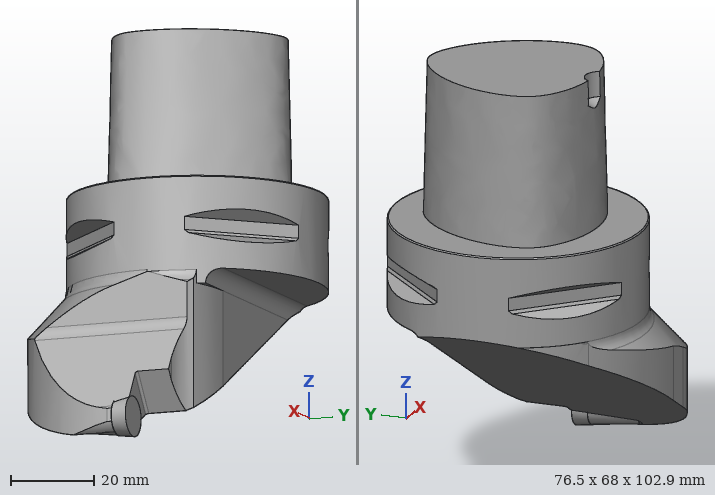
import cadquery as cq
import math


shank_height = 38.0
lobe_mean_radius = 22.1
lobe_height = 1.5
shank_draft = 0.9
outline_points = 48

notch_radius = 4.4
notch_axis_y = -21.7
notch_shoulder_z = 31.6
drill_point_half_angle = 59

flange_radius = 31.5
flange_height = 22.7
flange_chamfer = 0.3
groove_floor_distance = 27.8
groove_center_z = -11.9
groove_floor_height = 3.7
groove_flank_angle = 30
groove_corner_chamfer = 0.5
groove_overrun = 1
groove_count = 4
first_groove_angle = 45

underside_left_z = -21.4
underside_angle = 30
nose_angle = 60
nose_fillet = 6.2
arm_back_y = 13.9
arm_front_y = -36.4
arm_end_x = 44.1
back_fillet = 3.7

flange_wall_radius = 31.4
back_left_x = -math.sqrt(flange_wall_radius**2 - arm_back_y**2)
back_wall_end_x = 17.5
back_bulge_middle = (24.7, 13.1)
back_bulge_end = (30.2, 11.5)
back_hollow_middle = (32.8, 9.7)
back_hollow_end_x = 36.7
tip_back_y = 8.5
tip_front_y = -5.2
nose_middle = (37.4, -23.4)
nose_end = (21.8, -35)
front_corner_middle = (19.0, -36)
front_flat_right_x = 15.7
front_flat_left_x = 9.4
front_sweep_middle = (-5.8, -34)
front_sweep_end = (-18.7, -25.3)

neck_radius = 32.7
neck_flare_radius = 4.1
shoulder_angle = 48
neck_bottom_z = -25.8
shoulder_outer_radius = 61.8

insert_radius = 4.9
insert_thickness = 3.9
insert_x = 40.1
insert_z = -60.0
relief_angle = 7
support_radius = 4.3
support_length = 12.4

pocket_bottom = (31.8, -58.0)
pocket_top = (38.8, -48.4)
pocket_corner_fillet = 0.6

cut_reach = 103


def lobed_wire(mean_radius, z):
    """Three-lobed constant-width outline, one lobe pointing to +Y."""
    points = []
    for i in range(outline_points):
        angle = 2 * math.pi * i / outline_points
        lobe_phase = 3 * (angle - math.pi / 2)
        support = mean_radius + lobe_height * math.cos(lobe_phase)
        slope = -3 * lobe_height * math.sin(lobe_phase)
        x = support * math.cos(angle) - slope * math.sin(angle)
        y = support * math.sin(angle) + slope * math.cos(angle)
        points.append((x, y))
    return cq.Workplane("XY").workplane(offset=z).spline(points, periodic=True).close().val()


def make_shank():
    base = lobed_wire(lobe_mean_radius, 0)
    top = lobed_wire(lobe_mean_radius - shank_draft, shank_height)
    shank = cq.Workplane(obj=cq.Solid.makeLoft([base, top], True))
    point_depth = notch_radius / math.tan(math.radians(drill_point_half_angle))
    drill = (
        cq.Workplane("XZ", origin=(0, notch_axis_y, 0))
        .moveTo(0, notch_shoulder_z - point_depth)
        .lineTo(notch_radius, notch_shoulder_z)
        .lineTo(notch_radius, cut_reach)
        .lineTo(0, cut_reach)
        .close()
        .revolve(360, (0, 0), (0, 1))
    )
    return shank.cut(drill)


def make_groove_cutter(angle):
    """Straight trapezoidal groove, widening outwards, at one angle round the flange."""
    depth = flange_radius - groove_floor_distance + groove_overrun
    floor_half = groove_floor_height / 2
    mouth_half = floor_half + depth * math.tan(math.radians(groove_flank_angle))
    mouth_distance = groove_floor_distance + depth
    lower_corner = cq.selectors.NearestToPointSelector(
        (groove_floor_distance, 0, groove_center_z - floor_half)
    )
    return (
        cq.Workplane("XZ")
        .polyline([
            (groove_floor_distance, groove_center_z - floor_half),
            (mouth_distance, groove_center_z - mouth_half),
            (mouth_distance, groove_center_z + mouth_half),
            (groove_floor_distance, groove_center_z + floor_half),
        ])
        .close()
        .extrude(flange_radius, both=True)
        .edges("|Y")
        .edges(lower_corner)
        .chamfer(groove_corner_chamfer)
        .rotate((0, 0, 0), (0, 0, 1), angle)
    )


def make_flange():
    flange = (
        cq.Workplane("XY")
        .circle(flange_radius)
        .extrude(-flange_height)
        .faces(">Z")
        .edges()
        .chamfer(flange_chamfer)
    )
    for i in range(groove_count):
        flange = flange.cut(make_groove_cutter(first_groove_angle + i * 360 / groove_count))
    return flange


def underside_z(x):
    return underside_left_z - (x + flange_radius) * math.tan(math.radians(underside_angle))


def make_arm_plan():
    """Vertical-walled block with the outline of the arm seen along Z."""
    return (
        cq.Workplane("XY")
        .workplane(offset=-cut_reach)
        .moveTo(back_left_x, arm_back_y)
        .lineTo(back_wall_end_x, arm_back_y)
        .threePointArc(back_bulge_middle, back_bulge_end)
        .threePointArc(back_hollow_middle, (back_hollow_end_x, tip_back_y))
        .lineTo(arm_end_x, tip_back_y)
        .lineTo(arm_end_x, tip_front_y)
        .threePointArc(nose_middle, nose_end)
        .threePointArc(front_corner_middle, (front_flat_right_x, arm_front_y))
        .lineTo(front_flat_left_x, arm_front_y)
        .threePointArc(front_sweep_middle, front_sweep_end)
        .threePointArc((-flange_wall_radius, 0), (back_left_x, arm_back_y))
        .close()
        .extrude(cut_reach - flange_height)
    )


def make_arm_side():
    """Arm limits in the XZ plane: upright side, sloping nose and round tip."""
    nose = math.radians(nose_angle)
    tangent_x = insert_x + support_radius * math.sin(nose)
    tangent_z = insert_z + support_radius * math.cos(nose)
    nose_start_z = tangent_z + (tangent_x - flange_radius) * math.tan(nose)
    tip_end_z = underside_z(insert_x)
    bottom_left = -flange_radius
    side = (
        cq.Workplane("XZ")
        .moveTo(bottom_left, underside_z(bottom_left))
        .lineTo(bottom_left, 0)
        .lineTo(flange_radius, 0)
        .lineTo(flange_radius, nose_start_z)
        .lineTo(tangent_x, tangent_z)
        .threePointArc(
            (insert_x + support_radius, insert_z),
            (insert_x, insert_z - support_radius),
        )
        .lineTo(insert_x, tip_end_z)
        .close()
        .extrude(cut_reach, both=True)
    )
    nose_edge = cq.selectors.NearestToPointSelector((flange_radius, 0, nose_start_z))
    return side.edges("|Y").edges(nose_edge).fillet(nose_fillet)


def make_shoulder():
    """Solid of revolution: short neck below the flange, then a cone."""
    cone_drop = (shoulder_outer_radius - neck_radius) * math.tan(math.radians(shoulder_angle))
    cone_end_z = neck_bottom_z - cone_drop
    return (
        cq.Workplane("XZ")
        .moveTo(0, -flange_height)
        .lineTo(flange_radius, -flange_height)
        .radiusArc((neck_radius, neck_bottom_z), -neck_flare_radius)
        .lineTo(shoulder_outer_radius, cone_end_z)
        .lineTo(shoulder_outer_radius, -cut_reach)
        .lineTo(0, -cut_reach)
        .close()
        .revolve(360, (0, 0), (0, 1))
    )


def make_relieved_cone(radius, start_y, length):
    """Cone about the insert axis, narrowing towards -Y by the relief angle."""
    end_radius = radius - length * math.tan(math.radians(relief_angle))
    return cq.Workplane(obj=cq.Solid.makeCone(
        radius, end_radius, length,
        cq.Vector(insert_x, start_y, insert_z), cq.Vector(0, -1, 0),
    ))


def make_back_fillet():
    """Concave blend between the flange's lower face and the arm's back wall."""
    blend = (
        cq.Workplane("YZ", origin=(-flange_radius, 0, 0))
        .moveTo(0, -flange_height)
        .lineTo(arm_back_y + back_fillet, -flange_height)
        .radiusArc((arm_back_y, -flange_height - back_fillet), -back_fillet)
        .lineTo(0, -flange_height - back_fillet)
        .close()
        .extrude(2 * flange_radius)
    )
    bound = cq.Workplane("XY").circle(flange_radius).extrude(-cut_reach)
    return blend.intersect(bound)


def make_chip_pocket():
    """Clears the arm end on the +Y side of the insert's face."""
    lean = (pocket_top[0] - pocket_bottom[0]) / (pocket_top[1] - pocket_bottom[1])
    low_z = -cut_reach
    high_z = neck_bottom_z
    low_x = pocket_bottom[0] + lean * (low_z - pocket_bottom[1])
    high_x = pocket_bottom[0] + lean * (high_z - pocket_bottom[1])
    pocket = (
        cq.Workplane("XZ")
        .polyline([(low_x, low_z), (cut_reach, low_z), (cut_reach, high_z), (high_x, high_z)])
        .close()
        .extrude(-arm_back_y)
    )
    return pocket.faces("<Y").edges("<X").fillet(pocket_corner_fillet)


def make_underside_cutter():
    return (
        cq.Workplane("XZ")
        .polyline([
            (-cut_reach, underside_z(-cut_reach)),
            (cut_reach, underside_z(cut_reach)),
            (-cut_reach, underside_z(cut_reach)),
        ])
        .close()
        .extrude(cut_reach, both=True)
    )


def make_holder(insert):
    arm = make_arm_plan().intersect(make_arm_side()).intersect(make_shoulder())
    holder = make_flange().union(arm).union(make_back_fillet()).cut(make_underside_cutter())
    support = make_relieved_cone(support_radius, -insert_thickness, support_length)
    holder = holder.union(support.intersect(make_arm_plan()))
    return holder.union(make_shank()).cut(make_chip_pocket()).cut(insert)


insert = make_relieved_cone(insert_radius, 0, insert_thickness)
holder = make_holder(insert)

result = cq.Compound.makeCompound([holder.val(), insert.val()])